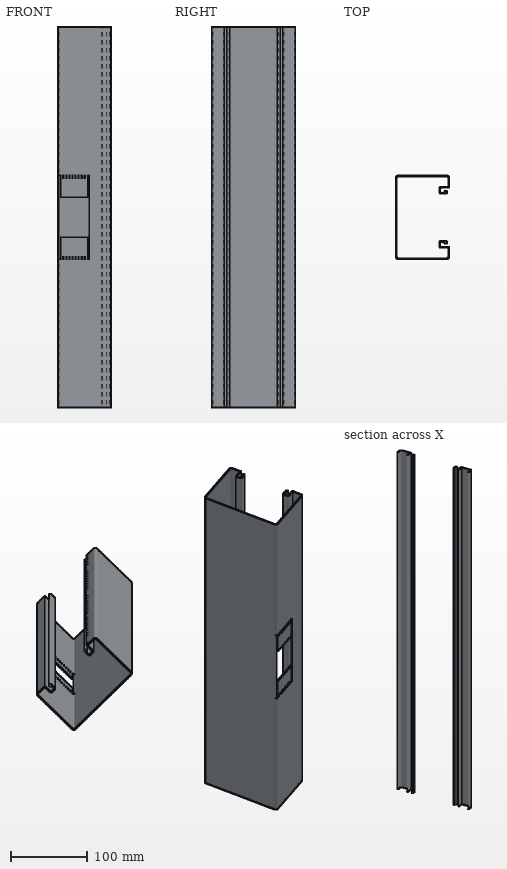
import cadquery as cq

depth = 70.0
width = 110.0
height = 500.0
sheet = 1.5
wall_bend = 3.0
front_flange = 16.5
lip_reach = 13.0
lip_width = 7.5
lip_bend = 2.0
bead_diameter = 4.0
bead_end = 67.5

opening_height = 52.5
cutout_height = 110.0
cutout_start = sheet
cutout_end = 41.0
side_slit = 2.0
perforation_count = 8
perforation_pitch = 4.0
perforation_width = 1.0
perforation_height = 3.5


def make_channel_half():
    """The +Y half of the channel, from the middle of the back wall to the lip bead."""
    side = width / 2
    mouth = side - front_flange
    lip_back = depth - lip_reach
    lip_front = mouth - lip_width
    bead_radius = bead_diameter / 2
    bead_x = bead_end - bead_radius
    bead_y = lip_front + bead_radius

    outline = [
        (0, 0),
        (0, side),
        (depth, side),
        (depth, mouth),
        (lip_back + sheet, mouth),
        (lip_back + sheet, lip_front + sheet),
        (bead_x, lip_front + sheet),
        (bead_x, lip_front),
        (lip_back, lip_front),
        (lip_back, mouth + sheet),
        (depth - sheet, mouth + sheet),
        (depth - sheet, side - sheet),
        (sheet, side - sheet),
        (sheet, 0),
    ]
    half = cq.Workplane("XY").polyline(outline).close().extrude(height)

    bends = [
        ((0, side), (sheet, side - sheet), wall_bend),
        ((depth, side), (depth - sheet, side - sheet), wall_bend),
        ((lip_back, mouth + sheet), (lip_back + sheet, mouth), lip_bend),
        ((lip_back, lip_front), (lip_back + sheet, lip_front + sheet), lip_bend),
    ]
    for outer, inner, radius in bends:
        half = round_corner(half, outer, radius)
        half = round_corner(half, inner, radius - sheet)

    bead = cq.Workplane("XY").center(bead_x, bead_y).circle(bead_radius).extrude(height)
    return half.union(bead).translate((0, 0, -height / 2))


def round_corner(body, corner, radius):
    """Fillet the vertical edge standing at the given corner of the section."""
    x, y = corner
    nearest = cq.selectors.NearestToPointSelector((x, y, height / 2))
    return body.edges("|Z").edges(nearest).fillet(radius)


def wall_cutter(x_start, x_end, z_size):
    """Block through the -Y wall and its bend, centred on the height of the channel."""
    block = cq.Workplane("XY").box(x_end - x_start, 2 * wall_bend, z_size)
    return block.translate(((x_start + x_end) / 2, -width / 2, 0))


channel_half = make_channel_half()
channel = channel_half.union(channel_half.mirror("XZ")).clean()

channel = channel.cut(wall_cutter(cutout_start, cutout_end, opening_height))
channel = channel.cut(wall_cutter(cutout_start, cutout_start + side_slit, cutout_height))
channel = channel.cut(wall_cutter(cutout_end - side_slit, cutout_end, cutout_height))

tab_middle = (cutout_start + cutout_end) / 2
row_start = tab_middle - (perforation_count - 1) / 2 * perforation_pitch
row_height = (cutout_height - perforation_height) / 2
slit_places = [
    (row_start + index * perforation_pitch, tab_end * row_height)
    for index in range(perforation_count)
    for tab_end in (1, -1)
]
perforations = (
    cq.Workplane("XZ", origin=(0, -width / 2, 0))
    .pushPoints(slit_places)
    .slot2D(perforation_height, perforation_width, 90)
    .extrude(-wall_bend)
)

result = channel.cut(perforations)